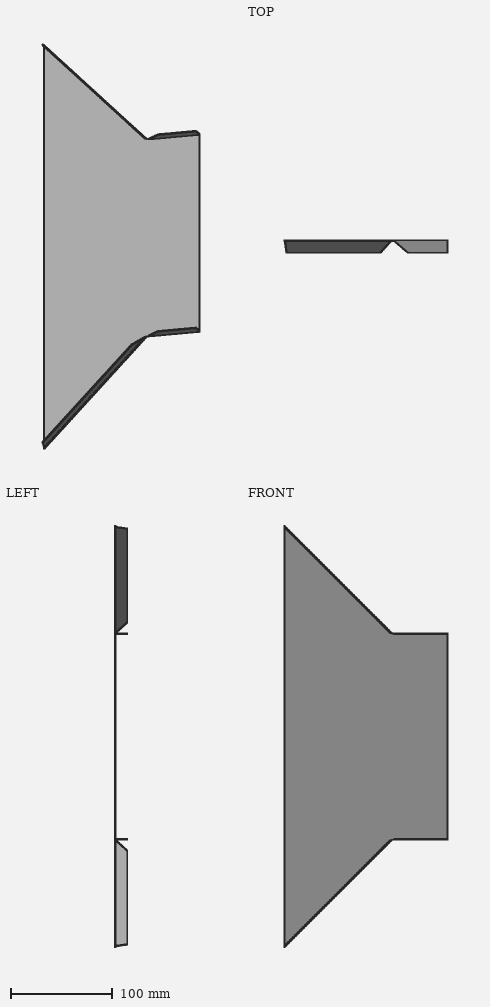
import cadquery as cq
import math

width = 160.3
depth = 12.5
length = 414.0
sheet = 1.0

half_length = length / 2
neck_half = 101.5
corner_x = half_length - neck_half
slope_length = corner_x * math.sqrt(2)

tip_lean = 2.5
slope_relief = 15.7
neck_gap = 1.2
neck_relief = 14.5


def make_plate():
    """Flat sheet whose back face lies on Y = 0."""
    outline = [
        (0, -half_length),
        (corner_x, -neck_half),
        (width, -neck_half),
        (width, neck_half),
        (corner_x, neck_half),
        (0, half_length),
    ]
    return cq.Workplane("XZ").polyline(outline).close().extrude(sheet)


def make_flange(start, direction, run, start_lean, end_lean):
    """Upright strip along a plate edge, reaching to -Y, with leaning ends.

    Its outer face is on the edge and its thickness is toward the plate.
    """
    outward = cq.Vector(*direction).cross(cq.Vector(0, 1, 0))
    plane = cq.Plane(origin=start, xDir=direction, normal=outward.toTuple())
    outline = [
        (0, 0),
        (run, 0),
        (run - end_lean, -depth),
        (start_lean, -depth),
    ]
    return cq.Workplane(plane).polyline(outline).close().extrude(-sheet)


def make_upper_flanges():
    """Sloped flange and neck flange on the +Z edges."""
    diagonal = math.sqrt(0.5)
    inset = sheet * diagonal
    sloped = make_flange(
        (inset, 0, half_length - inset),
        (diagonal, 0, -diagonal),
        slope_length - sheet,
        tip_lean,
        slope_relief,
    )
    neck_start = corner_x + neck_gap
    neck = make_flange((neck_start, 0, neck_half), (1, 0, 0), width - neck_start, neck_relief, 0)
    return sloped, neck


result = make_plate()
for flange in make_upper_flanges():
    result = result.union(flange).union(flange.mirror("XY"))